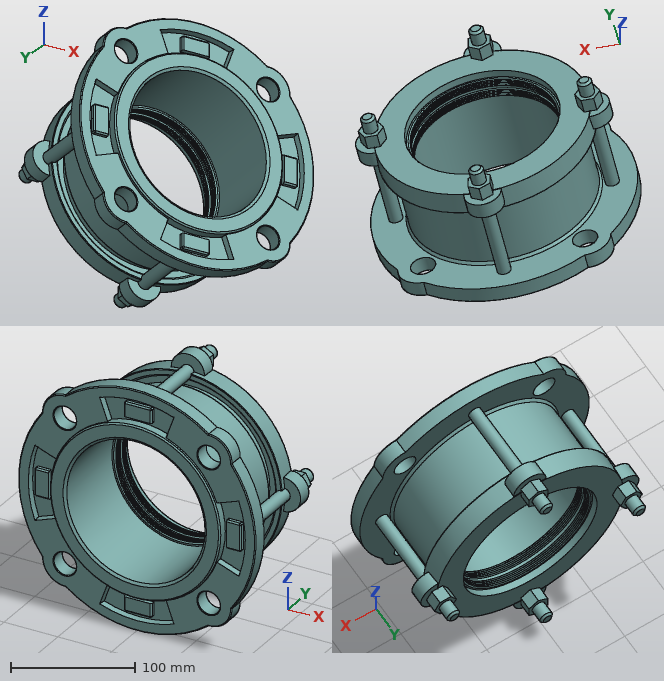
import cadquery as cq
import math


FLANGE_RADIUS = 110.0
FLANGE_FRONT = 3.3
FLANGE_BACK = 17.4
FLANGE_EDGE = 0.9
EAR_OFFSET = 66.7
EAR_RADIUS = 21.1
EAR_HOLE_RADIUS = 10.3
EAR_HOLE_EDGE = 0.7
SEAL_RADIUS = 79.0
SEAL_EDGE = 1.3

POCKET_OUTER_RADIUS = 100.5
POCKET_INNER_RADIUS = 72.5
POCKET_HALF_ANGLE = 20.0
POCKET_DEPTH = 5.3
POCKET_DRAFT_ANGLE = 10.0
POCKET_FLOOR = FLANGE_FRONT + POCKET_DEPTH

SLEEVE_RADIUS = 79.0
SLEEVE_ROOT_RADIUS = 81.0
SLEEVE_ROOT_LENGTH = 2.5
BORE_RADIUS = 64.0
MOUTH_RADIUS = 66.5
MOUTH_DEPTH = 1.8

GROOVE_RADIUS = 62.5
RIDGE_RADIUS = 61.05
RIDGE_START = 74.8
RIDGE_PITCH = 1.5
RIDGES_PER_GROUP = 5
GROUP_GAP = 2.9

RING_FRONT_RADIUS = 90.2
RING_BACK_RADIUS = 89.0
RING_FRONT = 80.5
RING_BACK = 99.7
RING_EDGE = 0.7
CUP_RADIUS = 83.5
LIP_BEVEL = 1.8
CUP_DEPTH = 8.5
CUP_FLOOR = RING_FRONT + CUP_DEPTH
NECK_START = 79.2
NECK_RADIUS = 74.1
NECK_BEVEL = 1.0
LUG_RADIUS = 15.5
LUG_FRONT = 85.8
LUG_BACK = 99.2

BOLT_COUNT = 4
BOLT_CIRCLE_RADIUS = 89.0
SHANK_RADIUS = 5.83
THREAD_RADIUS = 6.05
BOLT_END = 125.2
TIP_BEVEL = 2.0
NUT_FLATS = 18.0
NUT_BACK = 111.8
HEAD_WIDTH = 26.0
HEAD_HEIGHT = 13.5
HEAD_FRONT = 4.5
HEAD_EDGE = 1.3

BOLT_ANGLES = [i * 360 / BOLT_COUNT for i in range(BOLT_COUNT)]


def revolve_about_y(profile):
    """Revolve a closed outline of (radius, y) points about the Y axis."""
    outline = cq.Workplane("XY").polyline(profile).close()
    return outline.revolve(360, (0, 0, 0), (0, 1, 0))


def plane_at(y):
    """Plane square to the pipe axis, its normal pointing to +Y and its local Y to -Z."""
    return cq.Workplane(cq.Plane((0, y, 0), (1, 0, 0), (0, 1, 0)))


def cylinder(x, z, radius, y_start, y_end):
    return plane_at(y_start).center(x, -z).circle(radius).extrude(y_end - y_start)


def about_y(body, angle):
    return body.rotate((0, 0, 0), (0, 1, 0), angle)


def bevelled_disc(x, z, radius):
    """Disc as thick as the flange, its front edge bevelled."""
    disc = cylinder(x, z, radius, FLANGE_FRONT, FLANGE_BACK)
    return disc.faces("<Y").edges().chamfer(FLANGE_EDGE)


def ear_countersink(x, z):
    """Narrowing cone that bevels the front rim of an ear hole."""
    mouth = plane_at(FLANGE_FRONT).center(x, -z).circle(EAR_HOLE_RADIUS + EAR_HOLE_EDGE)
    return mouth.extrude(EAR_HOLE_EDGE, taper=45)


def make_pocket():
    """Fan-shaped pocket on +X with drafted walls, running inwards under the sealing face."""
    c = math.cos(math.radians(POCKET_HALF_ANGLE))
    s = math.sin(math.radians(POCKET_HALF_ANGLE))
    outline = (
        plane_at(FLANGE_FRONT)
        .moveTo(POCKET_INNER_RADIUS * c, -POCKET_INNER_RADIUS * s)
        .lineTo(POCKET_OUTER_RADIUS * c, -POCKET_OUTER_RADIUS * s)
        .threePointArc((POCKET_OUTER_RADIUS, 0), (POCKET_OUTER_RADIUS * c, POCKET_OUTER_RADIUS * s))
        .lineTo(POCKET_INNER_RADIUS * c, POCKET_INNER_RADIUS * s)
        .close()
    )
    return outline.extrude(POCKET_DEPTH, taper=POCKET_DRAFT_ANGLE)


def make_flange():
    flange = bevelled_disc(0, 0, FLANGE_RADIUS)
    ears = [(x, z) for x in (-EAR_OFFSET, EAR_OFFSET) for z in (-EAR_OFFSET, EAR_OFFSET)]
    for x, z in ears:
        flange = flange.union(bevelled_disc(x, z, EAR_RADIUS))
    for x, z in ears:
        flange = flange.cut(cylinder(x, z, EAR_HOLE_RADIUS, FLANGE_FRONT, FLANGE_BACK))
        flange = flange.cut(ear_countersink(x, z))
    pocket = make_pocket()
    for angle in BOLT_ANGLES:
        flange = flange.cut(about_y(pocket, angle))
    return flange


def make_sleeve():
    """Pipe sleeve with the raised sealing face in front and the narrower neck behind."""
    return revolve_about_y([
        (BORE_RADIUS, MOUTH_DEPTH),
        (MOUTH_RADIUS, 0),
        (SEAL_RADIUS - SEAL_EDGE, 0),
        (SEAL_RADIUS, SEAL_EDGE),
        (SEAL_RADIUS, FLANGE_BACK - SLEEVE_ROOT_LENGTH),
        (SLEEVE_ROOT_RADIUS, FLANGE_BACK),
        (SLEEVE_RADIUS, FLANGE_BACK + SLEEVE_ROOT_LENGTH),
        (SLEEVE_RADIUS, NECK_START),
        (SLEEVE_RADIUS - NECK_BEVEL, NECK_START + NECK_BEVEL),
        (NECK_RADIUS, NECK_START + NECK_BEVEL),
        (NECK_RADIUS, RING_BACK),
        (BORE_RADIUS, RING_BACK),
    ])


def make_ridges():
    """Two groups of saw-tooth sealing ridges standing in from the bore."""
    group_length = RIDGES_PER_GROUP * RIDGE_PITCH
    profile = [(BORE_RADIUS, RIDGE_START)]
    for group_start in (RIDGE_START, RIDGE_START + group_length + GROUP_GAP):
        for i in range(RIDGES_PER_GROUP):
            start = group_start + i * RIDGE_PITCH
            profile.append((GROOVE_RADIUS, start))
            profile.append((RIDGE_RADIUS, start + RIDGE_PITCH / 2))
        profile.append((GROOVE_RADIUS, group_start + group_length))
    profile.append((BORE_RADIUS, group_start + group_length))
    return revolve_about_y(profile)


def make_ring():
    ring = revolve_about_y([
        (CUP_RADIUS, RING_FRONT + LIP_BEVEL),
        (CUP_RADIUS + LIP_BEVEL, RING_FRONT),
        (RING_FRONT_RADIUS - RING_EDGE, RING_FRONT),
        (RING_FRONT_RADIUS, RING_FRONT + RING_EDGE),
        (RING_BACK_RADIUS, RING_BACK),
        (NECK_RADIUS, RING_BACK),
        (NECK_RADIUS, CUP_FLOOR),
        (CUP_RADIUS, CUP_FLOOR),
    ])
    lug = cylinder(BOLT_CIRCLE_RADIUS, 0, LUG_RADIUS, LUG_FRONT, LUG_BACK)
    lug = lug.cut(cylinder(0, 0, CUP_RADIUS, LUG_FRONT, LUG_BACK))
    for angle in BOLT_ANGLES:
        ring = ring.union(about_y(lug, angle))
    return ring


def make_housing(bolts):
    housing = make_flange().cut(cylinder(0, 0, SLEEVE_RADIUS, FLANGE_FRONT, FLANGE_BACK))
    housing = housing.union(make_sleeve()).union(make_ring()).union(make_ridges())
    for bolt in bolts:
        housing = housing.cut(bolt)
    return housing


def make_bolt():
    """Bolt on +X with a rectangular head, its nut made in one with it."""
    head = (
        plane_at(HEAD_FRONT)
        .center(BOLT_CIRCLE_RADIUS, 0)
        .rect(HEAD_HEIGHT, HEAD_WIDTH)
        .extrude(POCKET_FLOOR - HEAD_FRONT)
        .edges("|Y and >X").chamfer(HEAD_EDGE)
        .faces("<Y").edges("not <X").chamfer(HEAD_EDGE)
    )
    shank = cylinder(BOLT_CIRCLE_RADIUS, 0, SHANK_RADIUS, POCKET_FLOOR, RING_BACK)
    thread = cylinder(BOLT_CIRCLE_RADIUS, 0, THREAD_RADIUS, RING_BACK, BOLT_END)
    thread = thread.faces(">Y").edges().chamfer(TIP_BEVEL)
    nut = (
        plane_at(RING_BACK)
        .center(BOLT_CIRCLE_RADIUS, 0)
        .polygon(6, NUT_FLATS / math.cos(math.radians(30)))
        .extrude(NUT_BACK - RING_BACK)
    )
    return head.union(shank).union(thread).union(nut)


bolt = make_bolt()
bolts = [about_y(bolt, angle) for angle in BOLT_ANGLES]
housing = make_housing(bolts)

result = cq.Compound.makeCompound([housing.val(), *[b.val() for b in bolts]])